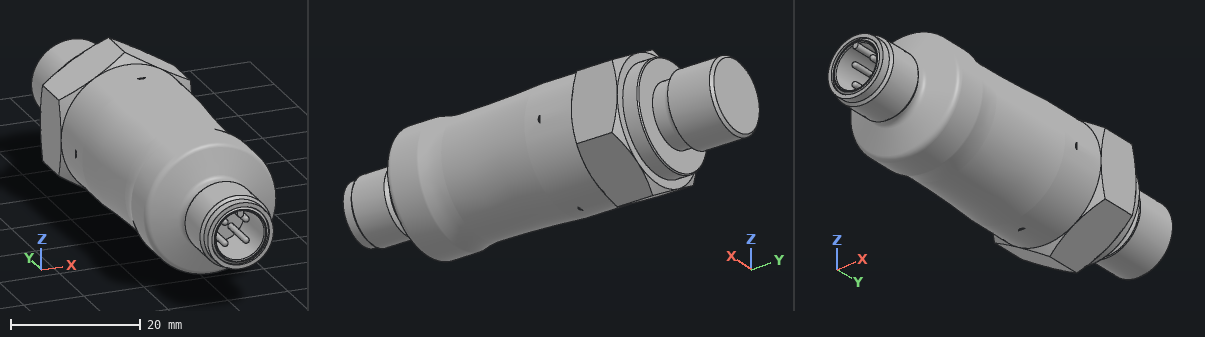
import cadquery as cq
import math

overall_length = 70.4

plug_tip_diameter = 11.0
plug_tip_length = 1.55
plug_tip_chamfer_length = 0.4
plug_thread_diameter = 12
plug_thread_end = 8.1
plug_neck_start = 8.7
plug_neck_diameter = 10.9

groove_diameter = 9.6
groove_depth = 0.4
insert_rim_outer_diameter = 8.7
insert_rim_inner_diameter = 8.4
insert_rim_position = 0.1
socket_diameter = 8.0
socket_depth = 8.45
key_width = 1.0
key_inner_offset = 3.1
pin_diameter = 1.0
pin_tip_radius = 0.4
pin_tip_position = 1.7
pin_offset = 1.75
floor_hole_diameter = 0.4
floor_hole_depth = 0.7
floor_hole_offset_x = 2.3
floor_hole_offset_z = 2.75

body_diameter = 22.0
shoulder_angle = 20
shoulder_radius = 1.1
shoulder_start = 12.8
grip_band_end = 17.75
grip_edge_length = 0.4
grip_edge_height = 0.1
waist_diameter = 20.7
waist_position = 22.0
waist_end = 38.1

indicator_diameter = 2.0
indicator_position = 41.0
indicator_bite = 0.3
indicator_tilt = 30
indicator_count = 4

hex_start = 46.9
hex_end = 55.55
hex_flats = body_diameter
hex_sides = 6
hex_chamfer_angle = 30
collar_diameter = 19
collar_end = 58.4
collar_chamfer = 0.2
relief_diameter = 11.2
relief_end = 60.75
relief_flare_diameter = 12.75
thread_diameter = 13.3
thread_start = 62.0
thread_chamfer = 0.5


def revolve_about_y(profile):
    return profile.close().revolve(360, (0, 0, 0), (0, 1, 0))


def tangent_arc_middle(radius, position, end_radius, end_position):
    """Middle point of the arc that leaves (radius, position) parallel to the axis."""
    rise = end_radius - radius
    run = end_position - position
    arc_radius = (rise**2 + run**2) / (2 * rise)
    half_angle = math.asin(run / arc_radius) / 2
    middle_radius = radius + arc_radius * (1 - math.cos(half_angle))
    return middle_radius, position + arc_radius * math.sin(half_angle)


def make_turned_body():
    """Everything that is round about the main axis, as one revolved outline."""
    tip = plug_tip_diameter / 2
    plug = plug_thread_diameter / 2
    neck = plug_neck_diameter / 2
    body = body_diameter / 2
    waist = waist_diameter / 2
    collar = collar_diameter / 2
    relief = relief_diameter / 2
    relief_flare = relief_flare_diameter / 2
    thread = thread_diameter / 2

    turn = math.radians(90 - shoulder_angle)
    fillet_height = shoulder_radius * (1 - math.cos(turn))
    fillet_length = shoulder_radius * math.sin(turn)
    cone_outer = (body - fillet_height, shoulder_start - fillet_length)
    cone_inner_radius = neck + fillet_height
    cone_length = (cone_outer[0] - cone_inner_radius) / math.tan(turn)
    cone_inner = (cone_inner_radius, cone_outer[1] - cone_length)

    long_arc_middle = tangent_arc_middle(waist, waist_position, body, waist_end)
    grip_edge = (body - grip_edge_height, grip_band_end + grip_edge_length)
    short_arc_middle = tangent_arc_middle(waist, waist_position, *grip_edge)

    profile = (
        cq.Workplane("XY")
        .lineTo(tip, 0)
        .lineTo(tip, plug_tip_length)
        .lineTo(plug, plug_tip_length + plug_tip_chamfer_length)
        .lineTo(plug, plug_thread_end)
        .lineTo(neck, plug_neck_start)
        .lineTo(neck, cone_inner[1] - fillet_length)
        .tangentArcPoint(cone_inner, relative=False)
        .lineTo(*cone_outer)
        .tangentArcPoint((body, shoulder_start), relative=False)
        .lineTo(body, grip_band_end)
        .tangentArcPoint(grip_edge, relative=False)
        .threePointArc(short_arc_middle, (waist, waist_position))
        .threePointArc(long_arc_middle, (body, waist_end))
        .lineTo(body, hex_end)
        .lineTo(collar, hex_end)
        .lineTo(collar, collar_end - collar_chamfer)
        .lineTo(collar - collar_chamfer, collar_end)
        .lineTo(relief, collar_end)
        .lineTo(relief, relief_end)
        .tangentArcPoint((relief_flare, thread_start), relative=False)
        .lineTo(thread, thread_start)
        .lineTo(thread, overall_length - thread_chamfer)
        .lineTo(thread - thread_chamfer, overall_length)
        .lineTo(0, overall_length)
    )
    return revolve_about_y(profile)


def make_hexagon():
    """Hexagon with corners on Z, its corners cut by a cone at both ends."""
    corner_radius = hex_flats / math.sqrt(3)
    flat_radius = hex_flats / 2
    chamfer_length = (corner_radius - flat_radius) * math.tan(math.radians(hex_chamfer_angle))
    prism = (
        cq.Workplane("XZ", origin=(0, hex_end, 0))
        .polygon(hex_sides, 2 * corner_radius)
        .extrude(hex_end - hex_start)
        .rotate((0, 0, 0), (0, 1, 0), 180 / hex_sides)
    )
    envelope = revolve_about_y(
        cq.Workplane("XY")
        .moveTo(0, hex_start)
        .lineTo(flat_radius, hex_start)
        .lineTo(corner_radius, hex_start + chamfer_length)
        .lineTo(corner_radius, hex_end - chamfer_length)
        .lineTo(flat_radius, hex_end)
        .lineTo(0, hex_end)
    )
    return prism.intersect(envelope)


def make_socket():
    """Blind bore of the plug; its lining has a bevelled rim beside a V-groove."""
    groove = groove_diameter / 2
    rim_outer = insert_rim_outer_diameter / 2
    rim_inner = insert_rim_inner_diameter / 2
    bore = socket_diameter / 2
    return revolve_about_y(
        cq.Workplane("XY")
        .lineTo(groove, 0)
        .lineTo(groove, groove_depth)
        .lineTo(rim_outer, insert_rim_position)
        .lineTo(rim_inner, insert_rim_position)
        .lineTo(bore, insert_rim_position + rim_inner - bore)
        .lineTo(bore, socket_depth)
        .lineTo(0, socket_depth)
    )


def socket_floor():
    return cq.Workplane("XZ", origin=(0, socket_depth, 0))


def make_floor_holes():
    """Four small blind holes near the edge of the socket floor."""
    return (
        socket_floor()
        .rect(2 * floor_hole_offset_x, 2 * floor_hole_offset_z, forConstruction=True)
        .vertices()
        .circle(floor_hole_diameter / 2)
        .extrude(-floor_hole_depth)
    )


def make_key():
    """Round-nosed coding rib along the top of the socket."""
    nose_radius = key_width / 2
    nose_center = key_inner_offset + nose_radius
    root = insert_rim_inner_diameter / 2
    return (
        socket_floor()
        .moveTo(-nose_radius, root)
        .lineTo(-nose_radius, nose_center)
        .threePointArc((0, key_inner_offset), (nose_radius, nose_center))
        .lineTo(nose_radius, root)
        .close()
        .extrude(socket_depth)
    )


def make_pins():
    """Four contact pins standing on the socket floor."""
    return (
        socket_floor()
        .rect(2 * pin_offset, 2 * pin_offset, forConstruction=True)
        .vertices()
        .circle(pin_diameter / 2)
        .extrude(socket_depth - pin_tip_position)
        .faces("<Y")
        .edges()
        .fillet(pin_tip_radius)
    )


def make_indicators():
    """Crescent notches, each left by the edge of a tilted round cutter."""
    cutter_radius = indicator_diameter / 2
    cutter = (
        cq.Workplane("XY")
        .center(0, cutter_radius - indicator_bite)
        .circle(cutter_radius)
        .extrude(indicator_diameter)
        .rotate((0, 0, 0), (1, 0, 0), indicator_tilt)
        .translate((0, indicator_position, body_diameter / 2))
    )
    notches = cq.Workplane("XY")
    for index in range(indicator_count):
        notches.add(cutter.rotate((0, 0, 0), (0, 1, 0), index * 360 / indicator_count))
    return notches.combine()


result = (
    make_turned_body()
    .union(make_hexagon())
    .cut(make_indicators())
    .cut(make_socket())
    .cut(make_floor_holes())
    .union(make_key())
    .union(make_pins())
)